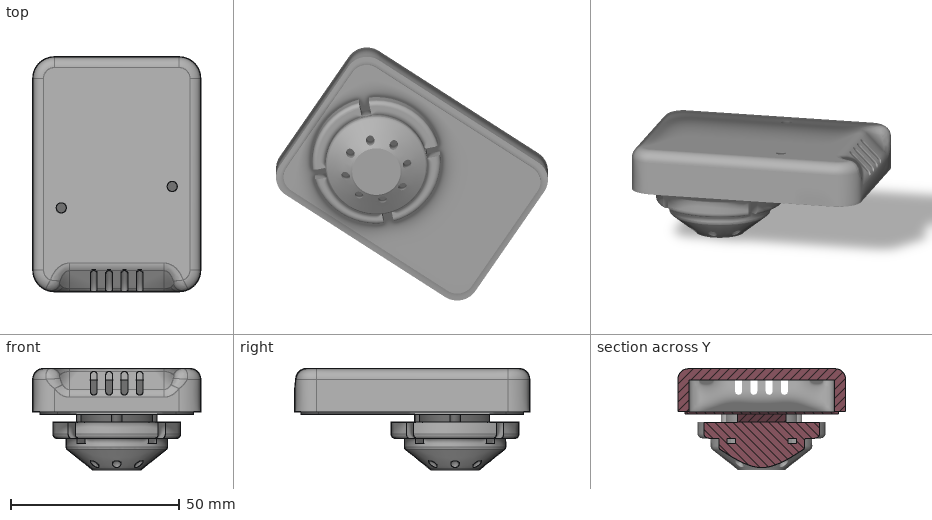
import cadquery as cq
import math


CASE_WIDTH = 49.95
CASE_LENGTH = 69.85
CASE_HEIGHT = 12.9
CORNER_RADIUS = 6.5
EDGE_RADIUS = 3.2

ROOF_THICKNESS = 3.5
WALL_THICKNESS = ROOF_THICKNESS
FRONT_WALL_THICKNESS = 6.5

RECESS_SETBACK = 7.2
RECESS_FLOOR_WIDTH = 28.2
RECESS_WALL_RADIUS = 3.2
RECESS_REACH = 20.95

SLOT_COUNT = 4
SLOT_WIDTH = 2.0
SLOT_PITCH = 4.55
SLOT_BOTTOM_DROP = 7.9
SLOT_TOP_DROP = 0.9
SLOT_DEPTH = FRONT_WALL_THICKNESS + 0.15

SCREW_HOLE_DIAMETER = 3.0
SCREW_HOLE_POSITIONS = [(-16.5, -10.0), (16.5, -3.6)]

PLATE_WIDTH = 45.6
PLATE_LENGTH = 66.15
PLATE_THICKNESS = 0.7
PLATE_CORNER_RADIUS = 5.2

AXIS_Y = 12.7

NECK_DIAMETER = 21.45
NECK_HEIGHT = 2.3
NECK_FLAT_OFFSET = 10.3
TAB_DIAMETER = 3.15
TAB_REACH = 12.0
TAB_ANGLES = [180, 270, 0]

FLANGE_DIAMETER = 38.0
FLANGE_HEIGHT = 4.9
FLANGE_FILLET = 1.4
FLANGE_NOTCH_WIDTH = 3.0

DRUM_DIAMETER = 30.2
DRUM_HEIGHT = 7.9
SHOULDER_FILLET = 1.1
TIP_DIAMETER = 15.2
TIP_CHAMFER = 0.4
CAP_HEIGHT = 14.25

DRUM_NOTCH_WIDTH = 3.35
DRUM_NOTCH_FLOOR_RADIUS = 11.2
DRUM_NOTCH_HEIGHT = 1.5
FLANGE_NOTCH_FLOOR_RADIUS = DRUM_DIAMETER / 2

VENT_COUNT = 8
VENT_DIAMETER = 2.5
VENT_CIRCLE_RADIUS = 9.3
VENT_DEPTH = 5.6

FRONT_Y = -CASE_LENGTH / 2
PLATE_BOTTOM = -PLATE_THICKNESS
CAP_TOP = PLATE_BOTTOM - NECK_HEIGHT


def recess_cutter():
    """Trough along the 45 degree slope, with a flat floor and side walls rising from rounded feet."""
    half_floor = RECESS_FLOOR_WIDTH / 2
    half_width = half_floor + RECESS_WALL_RADIUS
    slope_plane = cq.Plane(
        origin=(0, FRONT_Y + RECESS_SETBACK, CASE_HEIGHT),
        xDir=(1, 0, 0),
        normal=(0, -1, -1),
    )
    return (
        cq.Workplane(slope_plane)
        .moveTo(-half_width, RECESS_REACH)
        .lineTo(-half_width, RECESS_WALL_RADIUS)
        .radiusArc((-half_floor, 0), -RECESS_WALL_RADIUS)
        .lineTo(half_floor, 0)
        .radiusArc((half_width, RECESS_WALL_RADIUS), -RECESS_WALL_RADIUS)
        .lineTo(half_width, RECESS_REACH)
        .close()
        .extrude(RECESS_REACH, both=True)
    )


def round_upper_edges(body):
    """Round the top edge and the recess edge: all edges off the base except the smooth recess seams."""
    upper_edges = [
        edge
        for edge in body.edges("not |(0, 1, 1)").vals()
        if edge.BoundingBox().zmin > EDGE_RADIUS
    ]
    return body.newObject(upper_edges).fillet(EDGE_RADIUS)


def case_cavity():
    length = CASE_LENGTH - WALL_THICKNESS - FRONT_WALL_THICKNESS
    return (
        cq.Workplane("XY", origin=(0, (FRONT_WALL_THICKNESS - WALL_THICKNESS) / 2, 0))
        .rect(CASE_WIDTH - 2 * WALL_THICKNESS, length)
        .extrude(CASE_HEIGHT - ROOF_THICKNESS)
        .edges("|Z")
        .fillet(CORNER_RADIUS - WALL_THICKNESS)
    )


def vent_slots():
    """Row of upright round-ended slots, cut straight back from the front; the roof closes their tops."""
    middle_z = CASE_HEIGHT - (SLOT_TOP_DROP + SLOT_BOTTOM_DROP) / 2
    return (
        cq.Workplane("XZ", origin=(0, FRONT_Y, middle_z))
        .rarray(SLOT_PITCH, 0.7, SLOT_COUNT, 1)
        .slot2D(SLOT_BOTTOM_DROP - SLOT_TOP_DROP, SLOT_WIDTH, 90)
        .extrude(-SLOT_DEPTH)
    )


def screw_holes():
    return (
        cq.Workplane("XY")
        .pushPoints(SCREW_HOLE_POSITIONS)
        .circle(SCREW_HOLE_DIAMETER / 2)
        .extrude(CASE_HEIGHT)
    )


def make_case():
    block = (
        cq.Workplane("XY")
        .rect(CASE_WIDTH, CASE_LENGTH)
        .extrude(CASE_HEIGHT)
        .edges("|Z")
        .fillet(CORNER_RADIUS)
    )
    shell = round_upper_edges(block.cut(recess_cutter()))
    return shell.cut(case_cavity()).cut(vent_slots()).cut(screw_holes())


def make_plate():
    return (
        cq.Workplane("XY")
        .rect(PLATE_WIDTH, PLATE_LENGTH)
        .extrude(-PLATE_THICKNESS)
        .edges("|Z")
        .fillet(PLATE_CORNER_RADIUS)
    )


def make_neck():
    """Round neck with half-round tabs on three sides and a flat on the fourth."""
    base = cq.Workplane("XY", origin=(0, AXIS_Y, PLATE_BOTTOM))
    neck = base.circle(NECK_DIAMETER / 2).extrude(-NECK_HEIGHT)
    flat_centre_y = NECK_FLAT_OFFSET + NECK_DIAMETER / 2
    beyond_flat = base.center(0, flat_centre_y).rect(NECK_DIAMETER, NECK_DIAMETER).extrude(-NECK_HEIGHT)
    neck = neck.cut(beyond_flat)
    tab_centre_radius = TAB_REACH - TAB_DIAMETER / 2
    for angle in TAB_ANGLES:
        x = tab_centre_radius * math.cos(math.radians(angle))
        y = tab_centre_radius * math.sin(math.radians(angle))
        neck = neck.union(base.center(x, y).circle(TAB_DIAMETER / 2).extrude(-NECK_HEIGHT))
    return neck


def make_flange():
    return (
        cap_workplane()
        .circle(FLANGE_DIAMETER / 2)
        .extrude(-FLANGE_HEIGHT)
        .faces("<Z")
        .edges()
        .fillet(FLANGE_FILLET)
    )


def make_nose():
    """Drum narrowing to a cone with a chamfered tip; the shoulder between drum and cone is rounded."""
    nose = (
        cq.Workplane("XZ", origin=(0, AXIS_Y, CAP_TOP))
        .lineTo(DRUM_DIAMETER / 2, 0)
        .lineTo(DRUM_DIAMETER / 2, -DRUM_HEIGHT)
        .lineTo(TIP_DIAMETER / 2, TIP_CHAMFER - CAP_HEIGHT)
        .lineTo(TIP_DIAMETER / 2 - TIP_CHAMFER, -CAP_HEIGHT)
        .lineTo(0, -CAP_HEIGHT)
        .close()
        .revolve(360, (0, 0, 0), (0, 1, 0))
    )
    return nose.faces("%CYLINDER").edges("<Z").fillet(SHOULDER_FILLET)


def cap_workplane(drop=0):
    """Horizontal plane on the cap axis, the given drop below the cap top."""
    return cq.Workplane("XY", origin=(0, AXIS_Y, CAP_TOP - drop))


def diagonal_notches(width, floor_radius, drop, height):
    """Four radial notches, from floor_radius outward past the flange."""
    length = FLANGE_DIAMETER / 2
    return (
        cap_workplane(drop)
        .polarArray(floor_radius + length / 2, 45, 360, 4)
        .rect(length, width)
        .extrude(-height)
    )


def vents():
    """Ring of upright blind holes in the cone."""
    return (
        cap_workplane(CAP_HEIGHT)
        .polarArray(VENT_CIRCLE_RADIUS, 0, 360, VENT_COUNT)
        .circle(VENT_DIAMETER / 2)
        .extrude(VENT_DEPTH)
    )


def make_cap():
    flange = make_flange().cut(
        diagonal_notches(FLANGE_NOTCH_WIDTH, FLANGE_NOTCH_FLOOR_RADIUS, 0, FLANGE_HEIGHT)
    )
    nose = make_nose().cut(
        diagonal_notches(DRUM_NOTCH_WIDTH, DRUM_NOTCH_FLOOR_RADIUS, FLANGE_HEIGHT, DRUM_NOTCH_HEIGHT)
    )
    return flange.union(nose).cut(vents())


case = make_case()
plate = make_plate()
neck = make_neck()
cap = make_cap()

result = cq.Compound.makeCompound([case.val(), plate.val(), neck.val(), cap.val()])